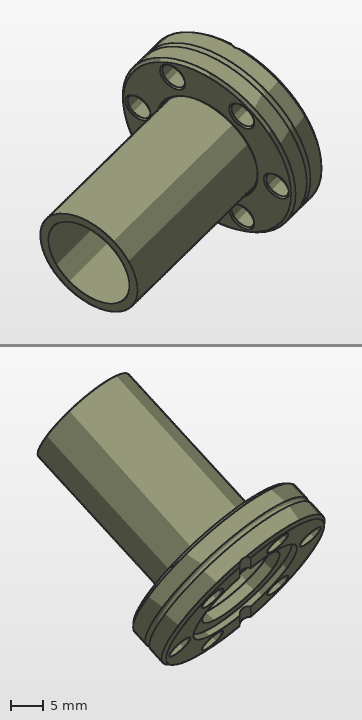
import cadquery as cq
import math

OVERALL_LENGTH = 38.1

FLANGE_DIAMETER = 33.8
FLANGE_THICKNESS = 7.7
FLANGE_CHAMFER = 0.5
FLANGE_BORE = 19.2
BORE_CHAMFER = 0.25
RECESS_DIAMETER = 21.4
RECESS_DEPTH = FLANGE_THICKNESS / 2

BOLT_COUNT = 6
BOLT_CIRCLE = 27.0
BOLT_HOLE_DIAMETER = 4.4
BOLT_HOLE_CHAMFER = 0.25

RIM_GROOVE_WIDTH = 0.95
RIM_GROOVE_DEPTH = 0.2

CHANNEL_WIDTH = 2.2
CHANNEL_DEPTH = 0.6

RING_DIAMETER = 21.1
RING_BORE = 16.0
RING_SETBACK = 1.0
SOCKET_DIAMETER = 19.1
SOCKET_DEPTH = 1.0

TUBE_DIAMETER = 19.0
TUBE_BORE = 15.8

FLANGE_BACK = -FLANGE_THICKNESS
RECESS_FLOOR = -RECESS_DEPTH
SOCKET_FLOOR = RECESS_FLOOR + SOCKET_DEPTH
TUBE_END = -OVERALL_LENGTH


def arc_radius(chord, height):
    """Radius of the circle whose segment has this chord and height."""
    return (chord**2 / 4 + height**2) / (2 * height)


def cylinder(diameter, y_start, y_end):
    """Solid cylinder on the Y axis from y_start up to y_end."""
    profile = cq.Workplane("XZ", origin=(0, y_start, 0)).circle(diameter / 2)
    return profile.extrude(y_start - y_end)


def chamfer_cutter(diameter, chamfer):
    """Cone that chamfers a hole's mouth at the back of the flange."""
    radius = diameter / 2
    return cq.Workplane(
        cq.Solid.makeCone(
            radius + chamfer,
            radius,
            chamfer,
            pnt=cq.Vector(0, FLANGE_BACK, 0),
            dir=cq.Vector(0, 1, 0),
        )
    )


def bolt_hole_cutter():
    hole = cylinder(BOLT_HOLE_DIAMETER, FLANGE_BACK, 0)
    return hole.union(chamfer_cutter(BOLT_HOLE_DIAMETER, BOLT_HOLE_CHAMFER))


def rim_groove_cutter():
    section_radius = arc_radius(RIM_GROOVE_WIDTH, RIM_GROOVE_DEPTH)
    section_center = FLANGE_DIAMETER / 2 - RIM_GROOVE_DEPTH + section_radius
    section = cq.Workplane("XY").center(section_center, FLANGE_BACK / 2).circle(section_radius)
    return section.revolve(360, (-section_center, 0), (-section_center, 1))


def channel_cutter():
    radius = arc_radius(CHANNEL_WIDTH, CHANNEL_DEPTH)
    section = cq.Workplane("XY").center(0, radius - CHANNEL_DEPTH).circle(radius)
    return section.extrude(FLANGE_DIAMETER / 2, both=True)


def make_flange():
    flange = cylinder(FLANGE_DIAMETER, FLANGE_BACK, 0).edges().chamfer(FLANGE_CHAMFER)
    flange = flange.cut(cylinder(FLANGE_BORE, FLANGE_BACK, 0))
    flange = flange.cut(chamfer_cutter(FLANGE_BORE, BORE_CHAMFER))
    flange = flange.cut(cylinder(RECESS_DIAMETER, RECESS_FLOOR, 0))
    flange = flange.cut(rim_groove_cutter())
    flange = flange.cut(channel_cutter())
    hole = bolt_hole_cutter()
    for index in range(BOLT_COUNT):
        angle = 2 * math.pi * index / BOLT_COUNT
        x = BOLT_CIRCLE / 2 * math.cos(angle)
        z = BOLT_CIRCLE / 2 * math.sin(angle)
        flange = flange.cut(hole.translate((x, 0, z)))
    return flange


def make_sealing_ring():
    ring = cylinder(RING_DIAMETER, RECESS_FLOOR, -RING_SETBACK)
    ring = ring.cut(cylinder(RING_BORE, RECESS_FLOOR, -RING_SETBACK))
    return ring.cut(cylinder(SOCKET_DIAMETER, RECESS_FLOOR, SOCKET_FLOOR))


def make_tube():
    tube = cylinder(TUBE_DIAMETER, TUBE_END, SOCKET_FLOOR)
    return tube.cut(cylinder(TUBE_BORE, TUBE_END, SOCKET_FLOOR))


flange = make_flange()
sealing_ring = make_sealing_ring()
tube = make_tube()

result = cq.Compound.makeCompound([flange.val(), sealing_ring.val(), tube.val()])